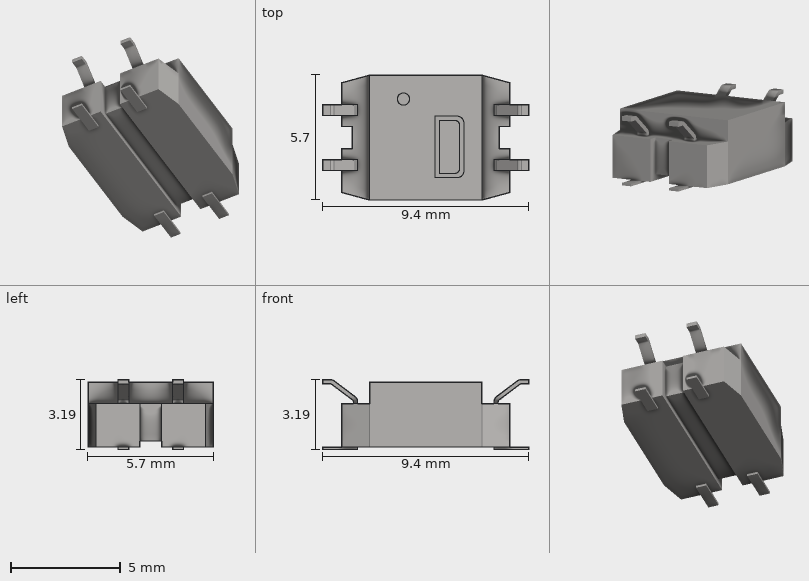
import cadquery as cq
import math


LEAD_SPAN = 9.4
HOUSING_WIDTH = 5.7

CORE_LENGTH = 5.11
CORE_HEIGHT = 2.97
SHOULDER_LENGTH = 7.67
SHOULDER_HEIGHT = 1.98
END_WIDTH = 5.0
NOTCH_WIDTH = 1.0
NOTCH_DEPTH = 0.48
CHANNEL_HEIGHT = 0.28

LEAD_WIDTH = 0.5
LEAD_PITCH = 2.5
LEAD_REACH = 1.6
PAD_THICKNESS = 0.11
LEAD_THICKNESS = 0.2
LEAD_RISE = 0.11
TIP_LENGTH = 0.45
SLOPE = math.radians(37)
INNER_BEND = 0.1
OUTER_BEND = INNER_BEND + LEAD_THICKNESS

MARK_DEPTH = 0.1
DOT_DIAMETER = 0.55
DOT_X = -1.015
DOT_Y = 1.76
FRAME_LENGTH = 1.31
FRAME_WIDTH = 2.8
FRAME_X = 1.08
FRAME_Y = -0.42
FRAME_WALL = 0.2
FRAME_OUTER_CORNER = 0.3
FRAME_INNER_CORNER = 0.2

TIP_X = LEAD_SPAN / 2
ROOT_X = TIP_X - LEAD_REACH
MARK_FLOOR = CORE_HEIGHT - MARK_DEPTH


def make_housing_block():
    """Tall core with tapered low ends, notched ends and a channel underneath."""
    core_x = CORE_LENGTH / 2
    side_y = HOUSING_WIDTH / 2
    end_x = SHOULDER_LENGTH / 2
    end_y = END_WIDTH / 2
    base = (
        cq.Workplane("XY")
        .polyline([
            (-core_x, -side_y), (core_x, -side_y), (end_x, -end_y), (end_x, end_y),
            (core_x, side_y), (-core_x, side_y), (-end_x, end_y), (-end_x, -end_y),
        ])
        .close()
        .extrude(SHOULDER_HEIGHT)
    )
    core = cq.Workplane("XY").rect(CORE_LENGTH, HOUSING_WIDTH).extrude(CORE_HEIGHT)
    notches = (
        cq.Workplane("XY")
        .pushPoints([(-end_x, 0), (end_x, 0)])
        .rect(2 * NOTCH_DEPTH, NOTCH_WIDTH)
        .extrude(SHOULDER_HEIGHT)
    )
    channel = cq.Workplane("XY").rect(SHOULDER_LENGTH, NOTCH_WIDTH).extrude(CHANNEL_HEIGHT)
    return base.union(core).cut(notches).cut(channel)


def make_pad_lead():
    """Flat lead under the +X end, centred on Y = 0."""
    return (
        cq.Workplane("XY")
        .center((ROOT_X + TIP_X) / 2, 0)
        .rect(LEAD_REACH, LEAD_WIDTH)
        .extrude(-PAD_THICKNESS)
    )


def make_bent_lead():
    """Lead rising from the +X shoulder, sloping outward to a level tip, centred on Y = 0."""
    top_z = CORE_HEIGHT + LEAD_RISE
    upper_x = TIP_X - TIP_LENGTH
    lower_z = top_z - (upper_x - ROOT_X) * math.tan(SLOPE)
    upper_mitre = LEAD_THICKNESS * math.tan(SLOPE / 2)
    lower_mitre = LEAD_THICKNESS * math.tan((math.pi / 2 - SLOPE) / 2)

    upper_outer = (upper_x, top_z)
    upper_inner = (upper_x + upper_mitre, top_z - LEAD_THICKNESS)
    lower_outer = (ROOT_X, lower_z)
    lower_inner = (ROOT_X + LEAD_THICKNESS, lower_z - lower_mitre)
    lead = (
        cq.Workplane("XZ")
        .polyline([
            (ROOT_X, SHOULDER_HEIGHT), lower_outer, upper_outer, (TIP_X, top_z),
            (TIP_X, top_z - LEAD_THICKNESS), upper_inner, lower_inner,
            (ROOT_X + LEAD_THICKNESS, SHOULDER_HEIGHT),
        ])
        .close()
        .extrude(LEAD_WIDTH / 2, both=True)
    )
    for corners, radius in (
        ((upper_outer, lower_outer), OUTER_BEND),
        ((upper_inner, lower_inner), INNER_BEND),
    ):
        for x, z in corners:
            lead = lead.edges(cq.NearestToPointSelector((x, 0, z))).fillet(radius)
    return lead


def make_dot():
    """Round mark."""
    return (
        cq.Workplane("XY", origin=(DOT_X, DOT_Y, MARK_FLOOR))
        .circle(DOT_DIAMETER / 2)
        .extrude(MARK_DEPTH)
    )


def make_frame_block(inset, corner_radius):
    """Block with its two +X corners rounded, set in by the inset on every side."""
    return (
        cq.Workplane("XY", origin=(FRAME_X, FRAME_Y, MARK_FLOOR))
        .rect(FRAME_LENGTH - 2 * inset, FRAME_WIDTH - 2 * inset)
        .extrude(MARK_DEPTH)
        .edges("|Z and >X")
        .fillet(corner_radius)
    )


def make_frame():
    """Closed D-shaped band."""
    outer = make_frame_block(0, FRAME_OUTER_CORNER)
    inner = make_frame_block(FRAME_WALL, FRAME_INNER_CORNER)
    return outer.cut(inner)


dot = make_dot()
frame = make_frame()

housing = make_housing_block()
for lead in (make_pad_lead(), make_bent_lead()):
    for end_angle in (0, 180):
        for lead_y in (-LEAD_PITCH / 2, LEAD_PITCH / 2):
            placed = lead.rotate((0, 0, 0), (0, 0, 1), end_angle).translate((0, lead_y, 0))
            housing = housing.union(placed)
housing = housing.cut(dot).cut(frame)

result = cq.Compound.makeCompound([housing.solids().val(), dot.solids().val(), frame.solids().val()])